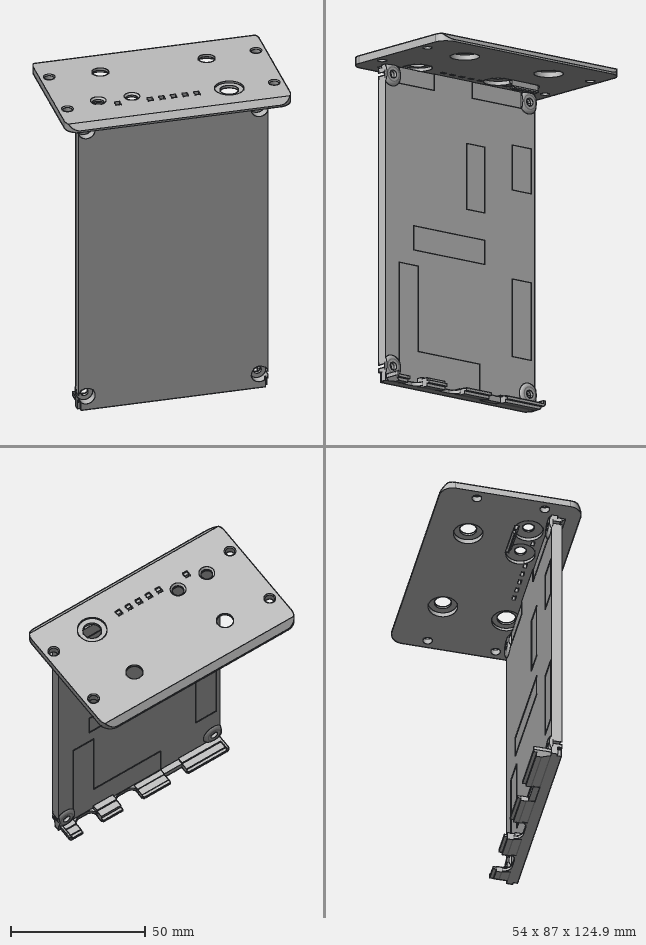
import cadquery as cq

PLATE_X, PLATE_Y, PLATE_T = 54.0, 87.0, 3.0
PLATE_CORNER_R = 5.0
PLATE_BEVEL = 2.2

SCREW_HOLE_D, SCREW_RIM_D = 3.5, 4.4
SCREW_X, SCREW_Y = 13.0, 39.8

ROUND_PORT_D = 6.4
ROUND_PORT_X, ROUND_PORT_Y = -11.7, 20.5

JACK_D, JACK_RECESS_D, JACK_RECESS_DEPTH = 7.0, 11.0, 0.7
JACK_X, JACK_Y = 13.0, 22.5

BUTTON_D, BUTTON_RIM_D = 4.4, 5.9
BUTTON_X = 9.7
BUTTON_YS = (-14.1, -27.1)

RELIEF_D = 11.0
PORT_WEB, BUTTON_WEB, JACK_WEB = 1.0, 1.5, 1.7

WINDOW_X, WINDOW_WIDTH, WINDOW_HEIGHT, WINDOW_DEPTH = 13.6, 2.5, 2.0, 0.7
WINDOW_PITCH, WINDOW_COUNT = 4.5, 5
WINDOW_FIRST_Y, WINDOW_LONE_Y = 9.9, -20.6

TOTAL_Z = 124.9
WALL_FRONT_X, WALL_T = 16.1, 4.0
WALL_BACK_X = WALL_FRONT_X + WALL_T
WALL_Y, WALL_WIDTH = -1.0, 73.0
WALL_MIN_Y = WALL_Y - WALL_WIDTH / 2
WALL_MAX_Y = WALL_Y + WALL_WIDTH / 2
WALL_BOTTOM_Z = -124.1
GUSSET = 1.6
POCKET_DEPTH = 0.2

NOTCH_X, NOTCH_Y, NOTCH_TOP_HEIGHT = 1.6, 1.0, 1.0
NOTCH_TOP_Z = -PLATE_T - NOTCH_TOP_HEIGHT
NOTCH_BOTTOM_Z = -120.5

MOUNT_SPACING_Y = 66.7
MOUNT_ZS = (-6.5, -118.4)
STANDOFF_R, FLARE_R, STANDOFF_H = 2.7, 4.4, 0.9
MOUNT_HOLE_D, NUT_BORE_D = 3.0, 6.5
NUT_BORE_FLOOR_X = 16.6

TAB_FRONT_X, TAB_STEP_X, TAB_HEEL_X = 9.5, 10.7, 12.7
TAB_LIP_Z, TAB_STEP_Z = -122.8, -123.8
TAB_RIDGE_X = 13.6
TABS = (
    (29.1, 35.0, -121.9, -122.4),
    (11.0, 19.9, -121.0, -121.6),
    (-10.6, 1.5, -122.4, -122.6),
    (-37.0, -18.6, -121.6, -122.3),
)
CHEEK_T, CHEEK_TOP_Z = 0.9, -121.6
SHELF_TOP_Z, SHELF_BOTTOM_Z = -122.3, -124.5
WEB_R = 3.0

HOOK_LOW_Y, HOOK_HIGH_Y, HOOK_BOTTOM_Z = -28.8, -16.2, -6.4
HOOK_CHAMFER = 1.0


def box(x0, x1, y0, y1, z0, z1):
    """Block given by its limits along each axis."""
    return cq.Workplane("XY").box(x1 - x0, y1 - y0, z1 - z0, centered=False).translate((x0, y0, z0))


def profile_along_y(points, y0, y1):
    """Sweep a closed X-Z outline from y0 to y1."""
    return cq.Workplane("XZ", origin=(0, y1, 0)).polyline(points).close().extrude(y1 - y0)


def rimmed_hole(plate, places, hole_d, rim_d):
    """Through holes with a 45 degree rim at the plate's top face."""
    return plate.faces(">Z").workplane(origin=(0, 0, 0)).pushPoints(places).cskHole(hole_d, rim_d, 90)


def face_plate():
    half_x = PLATE_X / 2
    outline = cq.Workplane("XY").rect(PLATE_X, PLATE_Y).extrude(-PLATE_T).edges("|Z").fillet(PLATE_CORNER_R)
    bevelled = profile_along_y(
        [
            (-half_x, -PLATE_T),
            (half_x, -PLATE_T),
            (half_x, -PLATE_BEVEL),
            (half_x - PLATE_BEVEL, 0),
            (PLATE_BEVEL - half_x, 0),
            (-half_x, -PLATE_BEVEL),
        ],
        -PLATE_Y / 2,
        PLATE_Y / 2,
    )
    plate = outline.intersect(bevelled)

    screws = [(x, y) for x in (-SCREW_X, SCREW_X) for y in (-SCREW_Y, SCREW_Y)]
    plate = rimmed_hole(plate, screws, SCREW_HOLE_D, SCREW_RIM_D)
    plate = rimmed_hole(plate, [(BUTTON_X, y) for y in BUTTON_YS], BUTTON_D, BUTTON_RIM_D)

    top = plate.faces(">Z").workplane(origin=(0, 0, 0))
    plate = top.pushPoints([(ROUND_PORT_X, y) for y in (-ROUND_PORT_Y, ROUND_PORT_Y)]).hole(ROUND_PORT_D)
    top = plate.faces(">Z").workplane(origin=(0, 0, 0))
    plate = top.pushPoints([(JACK_X, JACK_Y)]).cboreHole(JACK_D, JACK_RECESS_D, JACK_RECESS_DEPTH)

    reliefs = [(ROUND_PORT_X, y, PORT_WEB) for y in (-ROUND_PORT_Y, ROUND_PORT_Y)]
    reliefs += [(BUTTON_X, y, BUTTON_WEB) for y in BUTTON_YS]
    reliefs += [(JACK_X, JACK_Y, JACK_WEB)]
    for x, y, web in reliefs:
        relief = cq.Workplane("XY", origin=(x, y, -PLATE_T)).circle(RELIEF_D / 2).extrude(PLATE_T - web)
        plate = plate.cut(relief)

    window_ys = [WINDOW_FIRST_Y - i * WINDOW_PITCH for i in range(WINDOW_COUNT)] + [WINDOW_LONE_Y]
    for y in window_ys:
        low_x, high_x = WINDOW_X - WINDOW_WIDTH / 2, WINDOW_X + WINDOW_WIDTH / 2
        low_y, high_y = y - WINDOW_HEIGHT / 2, y + WINDOW_HEIGHT / 2
        plate = plate.cut(box(low_x, high_x, low_y, high_y, -WINDOW_DEPTH, 0))
        plate = plate.cut(box(low_x, WINDOW_X, low_y, high_y, -PLATE_T, 0))
    return plate


def wall():
    body = box(WALL_FRONT_X, WALL_BACK_X, WALL_MIN_Y, WALL_MAX_Y, WALL_BOTTOM_Z, -PLATE_T)
    gusset = profile_along_y(
        [
            (WALL_BACK_X, -PLATE_T),
            (WALL_BACK_X + GUSSET, -PLATE_T),
            (WALL_BACK_X, -PLATE_T - GUSSET),
        ],
        WALL_MIN_Y + NOTCH_Y,
        WALL_MAX_Y - NOTCH_Y,
    )
    body = body.union(gusset)
    notch_front_x = WALL_BACK_X - NOTCH_X
    for y0, y1 in ((WALL_MIN_Y, WALL_MIN_Y + NOTCH_Y), (WALL_MAX_Y - NOTCH_Y, WALL_MAX_Y)):
        body = body.cut(box(notch_front_x, WALL_BACK_X, y0, y1, NOTCH_TOP_Z, -PLATE_T))
        body = body.cut(box(notch_front_x, WALL_BACK_X, y0, y1, WALL_BOTTOM_Z, NOTCH_BOTTOM_Z))
    return body


def mount_places():
    half = MOUNT_SPACING_Y / 2
    return [(WALL_Y + side * half, z) for side in (-1, 1) for z in MOUNT_ZS]


def flared_boss():
    """Boss on the X axis; its flare is an arc tangent to the wall that climbs to the flat tip."""
    tip_x = WALL_FRONT_X - STANDOFF_H
    flare_width = FLARE_R - STANDOFF_R
    arc_r = (flare_width**2 + STANDOFF_H**2) / (2 * STANDOFF_H)
    return (
        cq.Workplane("XY")
        .moveTo(WALL_FRONT_X, 0)
        .lineTo(tip_x, 0)
        .lineTo(tip_x, STANDOFF_R)
        .radiusArc((WALL_FRONT_X, FLARE_R), arc_r)
        .close()
        .revolve(360, (0, 0, 0), (1, 0, 0))
    )


def standoffs():
    trim = box(WALL_FRONT_X - STANDOFF_H, WALL_FRONT_X, WALL_MIN_Y, WALL_MAX_Y, WALL_BOTTOM_Z, -PLATE_T)
    bosses = cq.Workplane("XY")
    for y, z in mount_places():
        bosses = bosses.union(flared_boss().translate((0, y, z)))
    return bosses.intersect(trim)


def mount_holes():
    """Screw holes through the standoffs with nut bores from the back of the wall."""
    plane = cq.Workplane("YZ").pushPoints(mount_places())
    holes = plane.circle(MOUNT_HOLE_D / 2).extrude(WALL_BACK_X)
    bores = (
        cq.Workplane("YZ", origin=(NUT_BORE_FLOOR_X, 0, 0))
        .pushPoints(mount_places())
        .circle(NUT_BORE_D / 2)
        .extrude(WALL_BACK_X - NUT_BORE_FLOOR_X)
    )
    return holes.union(bores)


def component_pockets():
    """Shallow reliefs in the wall's front face; they also trim the standoff flares."""
    left_y, l_inner_y, l_end_y = 28.7, 19.5, -10.7
    right_low_y, right_high_y = -35.8, -26.6
    middle_low_y, middle_high_y = -13.2, -4.4
    top_row_z = -9.2
    areas = (
        (11.5, left_y, top_row_z, -PLATE_T),
        (-31.0, -7.0, top_row_z, -PLATE_T),
        (right_low_y, right_high_y, -41.2, -24.0),
        (middle_low_y, middle_high_y, -52.2, -27.0),
        (middle_low_y, 21.6, -71.9, -62.7),
        (right_low_y, right_high_y, -105.0, -75.3),
        (l_inner_y, left_y, TAB_LIP_Z, -77.8),
        (l_end_y, left_y, TAB_LIP_Z, -110.5),
    )
    front_x = WALL_FRONT_X - STANDOFF_H
    pockets = cq.Workplane("XY")
    for y0, y1, z0, z1 in areas:
        pockets = pockets.union(box(front_x, WALL_FRONT_X + POCKET_DEPTH, y0, y1, z0, z1))
    return pockets


def rounded_webs(low_y, high_y):
    """Webs that round the corners between the wall and the tabs on both sides of a gap."""
    strip = box(WALL_FRONT_X - WEB_R, WALL_FRONT_X, low_y, high_y, WALL_BOTTOM_Z, TAB_LIP_Z)
    gap = box(TAB_FRONT_X, WALL_FRONT_X, low_y, high_y, WALL_BOTTOM_Z, TAB_LIP_Z)
    return strip.cut(gap.edges("|Z and >X").fillet(WEB_R))


def foot():
    """Four stepped tabs along the foot of the wall, with end cheeks, webs and a shelf between them."""
    parts = cq.Workplane("XY")
    for y0, y1, ridge_z, middle_z in TABS:
        tab_outline = [
            (WALL_FRONT_X, WALL_BOTTOM_Z),
            (WALL_FRONT_X, ridge_z),
            (TAB_RIDGE_X, ridge_z),
            (TAB_RIDGE_X, middle_z),
            (TAB_STEP_X, middle_z),
            (TAB_STEP_X, TAB_LIP_Z),
            (TAB_FRONT_X, TAB_LIP_Z),
            (TAB_FRONT_X, TAB_STEP_Z),
            (TAB_STEP_X, TAB_STEP_Z),
            (TAB_STEP_X, -TOTAL_Z),
            (TAB_HEEL_X, -TOTAL_Z),
        ]
        parts = parts.union(profile_along_y(tab_outline, y0, y1))

    foot_low_y, foot_high_y = TABS[-1][0], TABS[0][1]
    for y0 in (foot_low_y, foot_high_y - CHEEK_T):
        parts = parts.union(box(TAB_FRONT_X, WALL_FRONT_X, y0, y0 + CHEEK_T, TAB_STEP_Z, CHEEK_TOP_Z))

    end_run, end_rise = 1.6, 1.7
    ends = (
        cq.Workplane("YZ")
        .moveTo(foot_low_y + end_run, -TOTAL_Z)
        .lineTo(foot_high_y - end_run, -TOTAL_Z)
        .lineTo(foot_high_y, end_rise - TOTAL_Z)
        .lineTo(foot_high_y, 0)
        .lineTo(foot_low_y, 0)
        .lineTo(foot_low_y, end_rise - TOTAL_Z)
        .close()
        .extrude(WALL_BACK_X)
    )
    parts = parts.intersect(ends)

    first, second, third, fourth = TABS
    parts = parts.union(rounded_webs(second[1], first[0]))
    parts = parts.union(rounded_webs(third[1], second[0]))
    shelf = box(TAB_RIDGE_X, WALL_FRONT_X, fourth[1], third[0], SHELF_BOTTOM_Z, SHELF_TOP_Z)
    return parts.union(shelf)


def hook():
    """Tapered catch under the plate with a small nose at its tip."""
    nose_x, back_x, root_x = 3.2, 4.1, 5.9
    neck_x, neck_z = 4.6, -5.1
    nose_rise = 0.4
    nose_z = HOOK_BOTTOM_Z + nose_rise
    catch = profile_along_y(
        [
            (back_x, -PLATE_T),
            (root_x, -PLATE_T),
            (neck_x, neck_z),
            (neck_x, nose_z),
            (back_x, HOOK_BOTTOM_Z),
            (nose_x, nose_z),
            (back_x, neck_z),
        ],
        HOOK_LOW_Y,
        HOOK_HIGH_Y,
    )
    face = (
        cq.Workplane("YZ")
        .moveTo(HOOK_LOW_Y, -PLATE_T)
        .lineTo(HOOK_HIGH_Y, -PLATE_T)
        .lineTo(HOOK_HIGH_Y, HOOK_BOTTOM_Z + HOOK_CHAMFER)
        .lineTo(HOOK_HIGH_Y - HOOK_CHAMFER, HOOK_BOTTOM_Z)
        .lineTo(HOOK_LOW_Y + HOOK_CHAMFER, HOOK_BOTTOM_Z)
        .lineTo(HOOK_LOW_Y, HOOK_BOTTOM_Z + HOOK_CHAMFER)
        .close()
        .extrude(WALL_FRONT_X)
    )
    return catch.intersect(face)


carrier = wall().union(standoffs()).cut(component_pockets()).cut(mount_holes())
result = face_plate().union(carrier).union(foot()).union(hook())